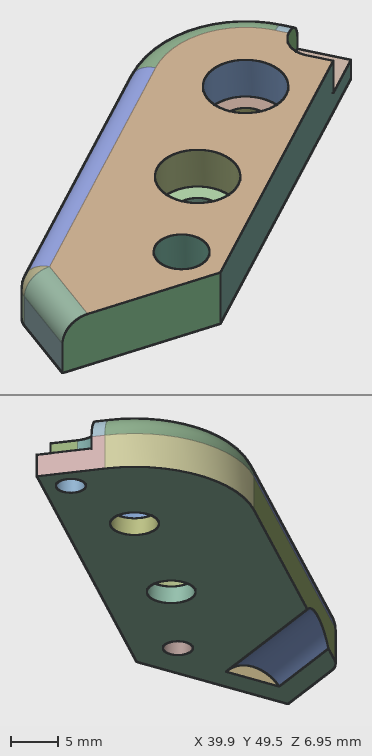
import cadquery as cq
import math

height = 6.95
length_x = 39.9
length_y = 49.5
end_radius = 12.95
edge_radius = 2.95
diagonal = math.sqrt(0.5)

end_x = end_radius
end_y = 35.1
tangent_shift = end_radius * diagonal
lower_tangent = (end_x - tangent_shift, end_y - tangent_shift)
upper_tangent = (end_x - tangent_shift, end_y + tangent_shift)
apex = (length_y - upper_tangent[1] + upper_tangent[0], length_y)
right_corner = (length_x, apex[0] + apex[1] - length_x)
bottom_corner = (sum(lower_tangent), 0)

hole_spacing = 11.35
large_hole_diameter = 5.15
large_recess_diameter = 9.0
small_hole_diameter = 3.15
small_recess_diameter = 5.9
recess_depth = 4.95
large_centers = [(end_x + i * hole_spacing, end_y - i * hole_spacing) for i in range(2)]
small_center = (34.95, 16.55)

tab_height = 2.55
tab_side = 5.95
tab_corner_radius = tab_side / 2
tab_hole_center = (apex[0], apex[1] - tab_side * diagonal)

groove_width = 6.55
groove_depth = 1.5
groove_radius = (groove_width**2 / 4 + groove_depth**2) / (2 * groove_depth)
groove_y = 6.15
groove_end_wall = 2.95
groove_length = length_x - groove_end_wall


def make_plate():
    plate = (
        cq.Workplane("XY")
        .moveTo(*apex)
        .lineTo(*upper_tangent)
        .threePointArc((0, end_y), lower_tangent)
        .lineTo(*bottom_corner)
        .lineTo(length_x, 0)
        .lineTo(*right_corner)
        .close()
        .extrude(height)
    )
    edges = plate.edges(cq.selectors.NearestToPointSelector((*bottom_corner, height / 2)))
    rounded_middles = [
        ((apex[0] + upper_tangent[0]) / 2, (apex[1] + upper_tangent[1]) / 2),
        (0, end_y),
        ((lower_tangent[0] + bottom_corner[0]) / 2, lower_tangent[1] / 2),
        ((bottom_corner[0] + length_x) / 2, 0),
    ]
    for x, y in rounded_middles:
        edges = edges.add(plate.edges(cq.selectors.NearestToPointSelector((x, y, height))))
    return edges.fillet(edge_radius)


def stepped_hole(center, hole_diameter, recess_diameter):
    hole = cq.Workplane("XY").center(*center).circle(hole_diameter / 2).extrude(height)
    recess = (
        cq.Workplane("XY", origin=(0, 0, height - recess_depth))
        .center(*center)
        .circle(recess_diameter / 2)
        .extrude(recess_depth)
    )
    return hole.union(recess)


def tab_clearance():
    size = 2 * tab_side
    return (
        cq.Workplane("XY")
        .rect(size, size)
        .extrude(height - tab_height)
        .edges("|Z")
        .edges("<X and <Y")
        .fillet(tab_corner_radius)
        .rotate((0, 0, 0), (0, 0, 1), 45)
        .translate((*apex, tab_height))
    )


def groove():
    return (
        cq.Workplane("YZ")
        .center(groove_y, groove_depth - groove_radius)
        .circle(groove_radius)
        .extrude(groove_length)
    )


result = make_plate().cut(tab_clearance()).cut(groove())
for large_center in large_centers:
    result = result.cut(stepped_hole(large_center, large_hole_diameter, large_recess_diameter))
result = result.cut(stepped_hole(small_center, small_hole_diameter, small_recess_diameter))
tab_hole = cq.Workplane("XY").center(*tab_hole_center).circle(small_hole_diameter / 2).extrude(height)
result = result.cut(tab_hole)